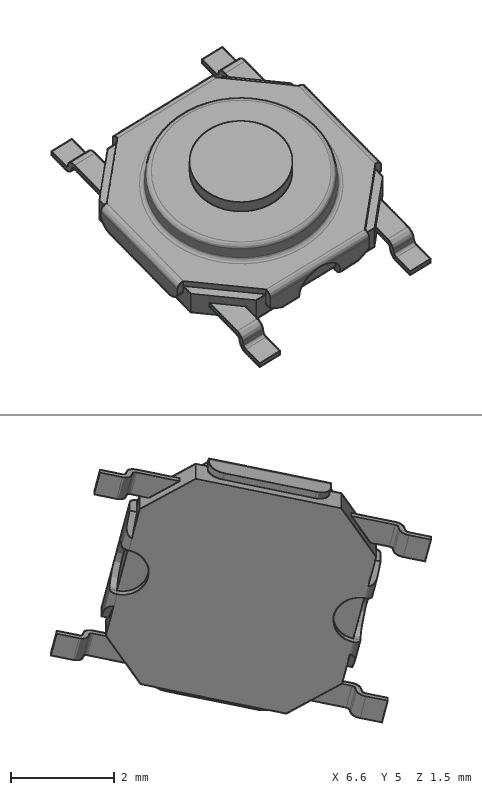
import cadquery as cq
import math

total_length = 6.6
total_width = 5.0
total_height = 1.5

sheet = 0.145
base_z = 0.05
housing_top = 0.65
cover_top = 0.805
half_body = total_width / 2 - sheet
housing_chamfer = 0.905
flap_half_width = 1.215
cover_chamfer = half_body - flap_half_width

round_flap_bottom = 0.24
round_flap_radius = 0.3

taper_start_z = 0.34
taper_half_width = 0.785
arch_radius = 0.5
arch_centre_z = 0.2
pocket_depth = 0.14

dome_base_radius = 1.895
dome_top_radius = 1.835
dome_top = 1.2
dome_top_fillet = 0.105
dome_foot_fillet = 0.09
button_radius = 2.0 / 2

lead_thickness = 0.12
lead_width = 0.5
lead_y = 1.85
lead_top = 0.415
lead_wall_x = 2.78
lead_wall_lean = 12.0
lead_root_x = 1.32
bend_inner = 0.07
bend_outer = bend_inner + lead_thickness


def octagon(corner_cut, bottom, top):
    """Square plate with its four corners cut off."""
    side = 2 * half_body
    plate = cq.Workplane("XY").workplane(offset=bottom).rect(side, side).extrude(top - bottom)
    return plate.edges("|Z").chamfer(corner_cut)


def fold_profile():
    """Section of a side flap, rounded at its top and bottom, as a bar on the +X side."""
    outer = half_body + sheet
    diagonal = sheet * math.sqrt(0.5)
    return (
        cq.Workplane("XZ")
        .moveTo(half_body, base_z)
        .threePointArc((half_body + diagonal, base_z + sheet - diagonal), (outer, base_z + sheet))
        .lineTo(outer, cover_top - sheet)
        .threePointArc((half_body + diagonal, cover_top - sheet + diagonal), (half_body, cover_top))
        .close()
        .extrude(flap_half_width, both=True)
    )


def flap_plane():
    """Workplane on the +X side of the body: local x is Y, local y is Z."""
    return cq.Workplane("YZ").workplane(offset=half_body)


def round_flap():
    """Flap with two rounded lower corners."""
    height = cover_top - round_flap_bottom
    middle_z = (cover_top + round_flap_bottom) / 2
    blank = flap_plane().center(0, middle_z).rect(2 * flap_half_width, height).extrude(sheet)
    return blank.edges("|X and <Z").fillet(round_flap_radius).intersect(fold_profile())


def arched_flap():
    """Flap tapered towards the bottom, with an arched opening in the middle."""
    blank = (
        flap_plane()
        .polyline([
            (-flap_half_width, cover_top),
            (-flap_half_width, taper_start_z),
            (-taper_half_width, base_z),
            (taper_half_width, base_z),
            (flap_half_width, taper_start_z),
            (flap_half_width, cover_top),
        ])
        .close()
        .extrude(sheet)
    )
    arch = (
        flap_plane()
        .moveTo(-arch_radius, 0)
        .lineTo(-arch_radius, arch_centre_z)
        .threePointArc((0, arch_centre_z + arch_radius), (arch_radius, arch_centre_z))
        .lineTo(arch_radius, 0)
        .close()
        .extrude(sheet)
    )
    return blank.intersect(fold_profile()).cut(arch)


def dome():
    """Tapered dome with a rounded rim and a flared foot, carrying the button."""
    taper = math.atan((dome_base_radius - dome_top_radius) / (dome_top - cover_top))
    reach = math.tan((math.pi / 2 - taper) / 2)
    middle_angle = math.pi / 4 + taper / 2
    along_x = math.sin(taper)
    along_z = math.cos(taper)
    rim = dome_top_fillet * reach
    foot = dome_foot_fillet * reach
    rim_centre = (dome_top_radius - rim, dome_top - dome_top_fillet)
    foot_centre = (dome_base_radius + foot, cover_top + dome_foot_fillet)
    step_x = math.cos(middle_angle)
    step_z = math.sin(middle_angle)
    return (
        cq.Workplane("XZ")
        .moveTo(0, cover_top)
        .lineTo(foot_centre[0], cover_top)
        .threePointArc(
            (foot_centre[0] - dome_foot_fillet * step_x, foot_centre[1] - dome_foot_fillet * step_z),
            (dome_base_radius - foot * along_x, cover_top + foot * along_z),
        )
        .lineTo(dome_top_radius + rim * along_x, dome_top - rim * along_z)
        .threePointArc(
            (rim_centre[0] + dome_top_fillet * step_x, rim_centre[1] + dome_top_fillet * step_z),
            (rim_centre[0], dome_top),
        )
        .lineTo(button_radius, dome_top)
        .lineTo(button_radius, total_height)
        .lineTo(0, total_height)
        .close()
        .revolve(360, (0, 0, 0), (0, 1, 0))
    )


def lead():
    """Z-shaped lead on the +X side, centred on the XZ plane."""
    tip_x = total_length / 2
    lean = math.radians(lead_wall_lean)
    wall_run = lead_thickness / math.cos(lean)

    def wall_point(inset, z):
        """Point of the leaning wall at height z, moved inwards by inset."""
        return (lead_wall_x - inset + (lead_top / 2 - z) * math.tan(lean), z)

    outer_top = wall_point(0, lead_top)
    outer_bottom = wall_point(0, lead_thickness)
    inner_bottom = wall_point(wall_run, 0)
    inner_top = wall_point(wall_run, lead_top - lead_thickness)
    blank = (
        cq.Workplane("XZ")
        .polyline([
            (lead_root_x, lead_top),
            outer_top,
            outer_bottom,
            (tip_x, lead_thickness),
            (tip_x, 0),
            inner_bottom,
            inner_top,
            (lead_root_x, lead_top - lead_thickness),
        ])
        .close()
        .extrude(lead_width / 2, both=True)
    )
    bends = (
        (outer_top, bend_outer),
        (inner_top, bend_inner),
        (outer_bottom, bend_inner),
        (inner_bottom, bend_outer),
    )
    for (x, z), radius in bends:
        corner = cq.selectors.NearestToPointSelector((x, 0, z))
        blank = blank.edges("|Y").edges(corner).fillet(radius)
    return blank


def turned(shape, angle):
    return shape.rotate((0, 0, 0), (0, 0, 1), angle)


pockets = (
    cq.Workplane("XY")
    .workplane(offset=base_z)
    .pushPoints([(-half_body, 0), (half_body, 0)])
    .circle(arch_radius)
    .extrude(pocket_depth)
)
result = octagon(housing_chamfer, base_z, housing_top).cut(pockets)
result = result.union(octagon(cover_chamfer, housing_top, cover_top))
result = result.union(dome())

for angle in (0, 180):
    result = result.union(turned(arched_flap(), angle))
    result = result.union(turned(round_flap(), angle + 90))
    for y in (-lead_y, lead_y):
        result = result.union(turned(lead().translate((0, y, 0)), angle))